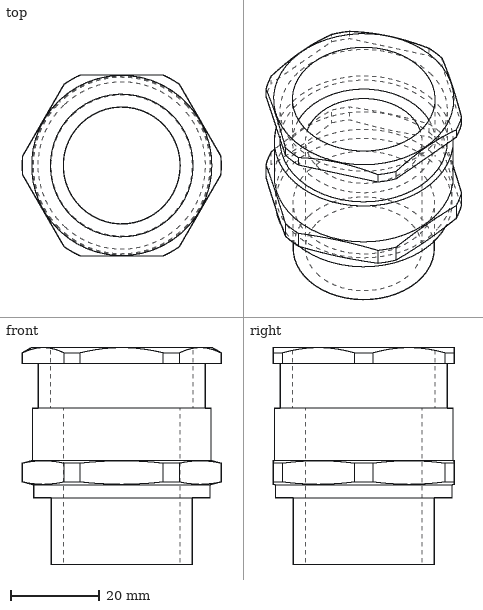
import cadquery as cq
import math

spigot_top = 15.1
collar_top = 18.05
lower_hex_top = 23.58
body_top = 35.4
neck_top = 45.5
total_height = 49.18

spigot_diameter = 32.0
collar_diameter = 40.0
body_diameter = 40.5
neck_diameter = 37.9

across_flats = 41.0
corner_diameter = 45.1
upper_face_diameter = 40.8
upper_chamfer_angle = 30.0
lower_chamfer_angle = 15.0

through_diameter = 26.4
counterbore_diameter = 32.3
counterbore_floor = body_top


def cylinder(diameter, bottom, top):
    """Upright cylinder on the Z axis between two heights."""
    return cq.Workplane("XY").workplane(offset=bottom).circle(diameter / 2).extrude(top - bottom)


def chamfer_drop(face_diameter, angle):
    """Height lost by a conical chamfer between its face circle and the turned corners."""
    return (corner_diameter - face_diameter) / 2 * math.tan(math.radians(angle))


def hexagon(bottom, top, bottom_face_diameter, top_face_diameter, chamfer_angle):
    """Hexagonal flange with turned corners; each end is chamfered outside its face circle."""
    across_corners = across_flats / math.cos(math.radians(30))
    prism = cq.Workplane("XY").workplane(offset=bottom).polygon(6, across_corners).extrude(top - bottom)

    corner_radius = corner_diameter / 2
    profile = cq.Workplane("XZ").moveTo(0, bottom).lineTo(bottom_face_diameter / 2, bottom)
    if bottom_face_diameter < corner_diameter:
        profile = profile.lineTo(corner_radius, bottom + chamfer_drop(bottom_face_diameter, chamfer_angle))
    turned_blank = (
        profile.lineTo(corner_radius, top - chamfer_drop(top_face_diameter, chamfer_angle))
        .lineTo(top_face_diameter / 2, top)
        .lineTo(0, top)
        .close()
        .revolve(360, (0, 0, 0), (0, 1, 0))
    )
    return prism.intersect(turned_blank)


spigot = cylinder(spigot_diameter, 0, spigot_top)
collar = cylinder(collar_diameter, spigot_top, collar_top)
lower_hex = hexagon(collar_top, lower_hex_top, collar_diameter, body_diameter, lower_chamfer_angle)
body = cylinder(body_diameter, lower_hex_top, body_top)
neck = cylinder(neck_diameter, body_top, neck_top)
upper_hex = hexagon(neck_top, total_height, corner_diameter, upper_face_diameter, upper_chamfer_angle)
outside = spigot.union(collar).union(lower_hex).union(body).union(neck).union(upper_hex)

through_bore = cylinder(through_diameter, 0, total_height)
counterbore = cylinder(counterbore_diameter, counterbore_floor, total_height)

result = outside.cut(through_bore).cut(counterbore)